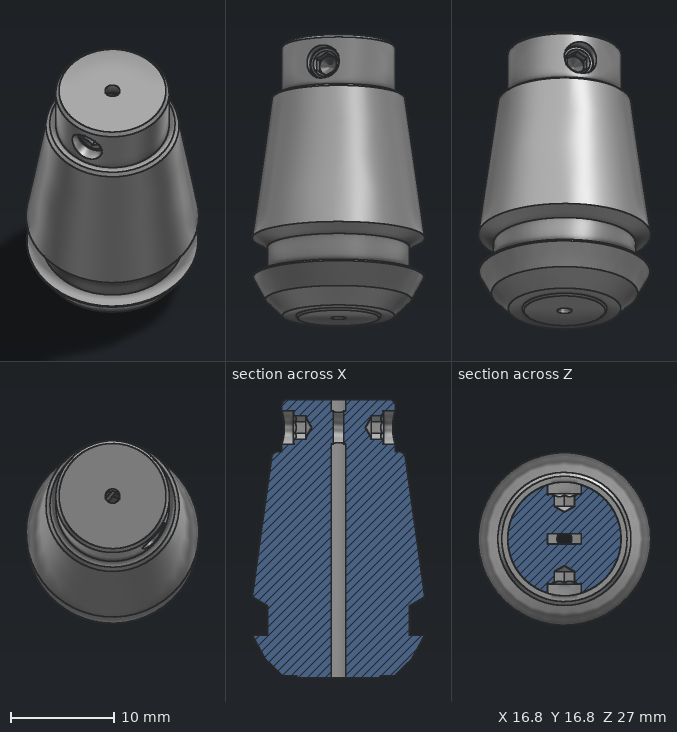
import cadquery as cq
import math

overall_height = 27
tip_radius = 3.95
tip_height = 0.22
tip_chamfer = 0.15
nose_bottom_radius = 5.45
nose_break_radius = 7.1
nose_break_height = 1.8
flange_radius = 16.6 / 2
flange_top = 4.18
flange_rim_width = 0.15
neck_radius = 13.8 / 2
neck_top = 7.0
cone_base_radius = 8.384
cone_base_height = 7.88
cone_top_radius = 6.45
shoulder_height = 21.95
shoulder_chamfer_height = 0.25
shoulder_chamfer_width = 0.38
head_radius = 5.5
head_chamfer = 0.32

bore_diameter = 1.4
screw_diameter = 3.25
screw_height = 24.3
screw_face_offset = 4.37
screw_tip_offset = 0.49
screw_chamfer = 0.1
socket_across_flats = 1.95
socket_corner_diameter = socket_across_flats / math.cos(math.pi / 6)
socket_mouth_diameter = 2.5
socket_depth = 1.22
socket_cone_depth = 0.55


def turned_body():
    outline = [
        (0, 0),
        (tip_radius, 0),
        (tip_radius + tip_chamfer, tip_height),
        (nose_bottom_radius, tip_height),
        (nose_break_radius, nose_break_height),
        (flange_radius, flange_top - flange_rim_width),
        (flange_radius, flange_top),
        (neck_radius, flange_top),
        (neck_radius, neck_top),
        (cone_base_radius, cone_base_height),
        (cone_top_radius, shoulder_height - shoulder_chamfer_height),
        (cone_top_radius - shoulder_chamfer_width, shoulder_height),
        (head_radius, shoulder_height),
        (head_radius, overall_height - head_chamfer),
        (head_radius - head_chamfer, overall_height),
        (0, overall_height),
    ]
    return cq.Workplane("XZ").polyline(outline).close().revolve(360, (0, 0), (0, 1))


def front_plane(offset):
    """Workplane facing -Y, centred on the screw axis at the given distance from the part axis."""
    return cq.Workplane("XZ", origin=(0, -offset, screw_height))


def set_screw():
    """Front set screw with a hexagon socket ending in a drill point."""
    screw = front_plane(screw_tip_offset).circle(screw_diameter / 2)
    screw = screw.extrude(screw_face_offset - screw_tip_offset)
    screw = screw.faces("<Y").chamfer(screw_chamfer)
    hexagon = (
        front_plane(screw_face_offset)
        .transformed(rotate=(0, 0, 90))
        .polygon(6, socket_corner_diameter)
        .extrude(-socket_depth)
    )
    floor_offset = screw_face_offset - socket_depth
    floor = drill_cone(socket_across_flats, floor_offset, socket_cone_depth)
    mouth = drill_cone(socket_mouth_diameter, screw_face_offset, socket_mouth_diameter / 2)
    return screw.cut(hexagon).cut(floor).cut(mouth)


def drill_cone(diameter, offset, depth):
    """Cone with its base facing -Y and its point towards the part axis."""
    cone = cq.Solid.makeCone(
        diameter / 2, 0, depth, pnt=cq.Vector(0, -offset, screw_height), dir=cq.Vector(0, 1, 0)
    )
    return cq.Workplane(cone)


bore = cq.Workplane("XY").circle(bore_diameter / 2).extrude(overall_height)
cross_hole = front_plane(0).circle(screw_diameter / 2).extrude(head_radius, both=True)
front_screw = set_screw()
rear_screw = front_screw.rotate((0, 0, 0), (0, 0, 1), 180)

result = turned_body().cut(bore).cut(cross_hole).union(front_screw).union(rear_screw)